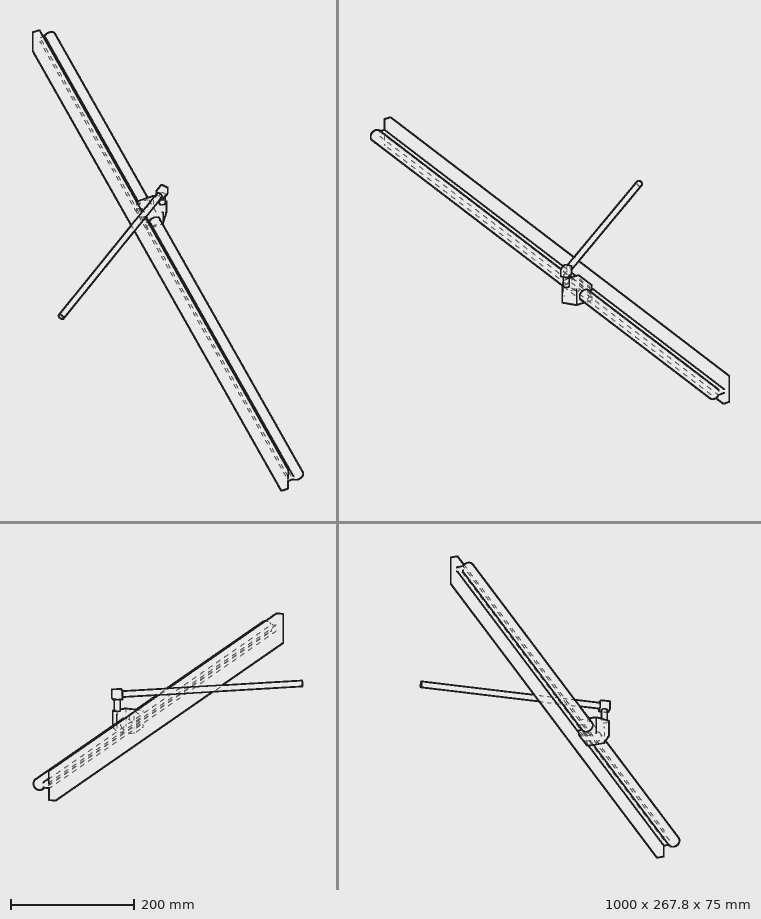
import cadquery as cq

rail_length = 1000.0
plate_height = 50.0
plate_thickness = 13.0
bead_radius = 10.0
bead_y = 30.0
web_thickness = 10.0
rail_rounding = 2.0
rail_z = plate_height / 2

carrier_x = -98.0
carrier_width = 39.0
carrier_height = 30.0
carrier_front_y = 16.0
carrier_shoulder_y = 46.0
carrier_back_y = 61.0
carrier_bottom_z = 10.0
carrier_rounding = 2.0
carrier_top_z = carrier_bottom_z + carrier_height

post_y = 53.0
post_radius = 5.0
hub_length = 16.0
hub_width = 13.0
hub_height = 15.0
hub_rounding = 1.0
hub_top_z = 75.0
rod_radius = 5.0
rod_reach = 307.0
rod_angle = 33.8
hub_z = hub_top_z - hub_height / 2


def bead_and_web():
    """Full-length bead and web with sharp ends; the carrier is cut with the same shape."""
    bead = (
        cq.Workplane("YZ", origin=(-rail_length / 2, bead_y, rail_z))
        .circle(bead_radius)
        .extrude(rail_length)
    )
    web = (
        cq.Workplane("XY", origin=(0, 0, rail_z))
        .box(rail_length, bead_y, web_thickness, centered=(True, False, True))
    )
    return bead.union(web)


def make_rail():
    """Plate, web and bead as one bar, rounded on the plate's long edges and around both ends."""
    plate = (
        cq.Workplane("XY")
        .box(rail_length, plate_thickness, plate_height, centered=(True, False, False))
        .edges("|X")
        .fillet(rail_rounding)
    )
    rail = plate.union(bead_and_web())
    return rail.faces("<X or >X").edges().fillet(rail_rounding)


def make_carrier():
    """Block with a pointed back and rounded top and bottom, open to the front for the web."""
    half_width = carrier_width / 2
    block = (
        cq.Workplane("XY", origin=(carrier_x, 0, carrier_bottom_z))
        .moveTo(-half_width, carrier_front_y)
        .lineTo(half_width, carrier_front_y)
        .lineTo(half_width, carrier_shoulder_y)
        .lineTo(0, carrier_back_y)
        .lineTo(-half_width, carrier_shoulder_y)
        .close()
        .extrude(carrier_height)
        .faces("<Z or >Z")
        .edges()
        .fillet(carrier_rounding)
    )
    return block.cut(bead_and_web())


def make_arm():
    """Post, hub and rod, built pointing to -Y and then swung about the post."""
    post = (
        cq.Workplane("XY", origin=(0, 0, carrier_top_z))
        .circle(post_radius)
        .extrude(hub_z - carrier_top_z)
    )
    hub = (
        cq.Workplane("XY", origin=(0, 0, hub_z))
        .box(hub_width, hub_length, hub_height)
        .edges()
        .fillet(hub_rounding)
    )
    rod = cq.Workplane("XZ", origin=(0, 0, hub_z)).circle(rod_radius).extrude(rod_reach)
    arm = post.union(hub).union(rod)
    return arm.rotate((0, 0, 0), (0, 0, 1), rod_angle).translate((carrier_x, post_y, 0))


rail = make_rail()
carrier = make_carrier()
arm = make_arm()
result = cq.Compound.makeCompound([rail.val(), carrier.val(), arm.val()])